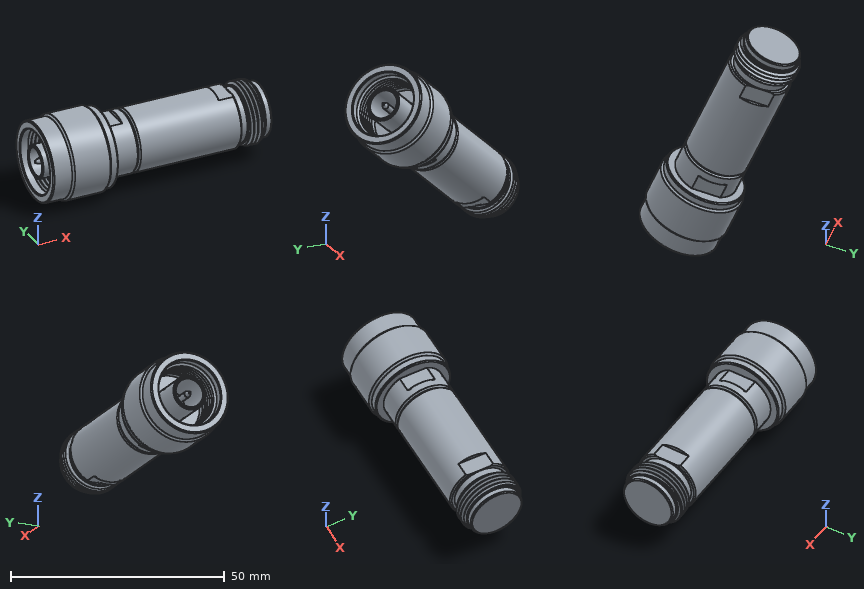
import cadquery as cq


TOTAL_LENGTH = 58.7
NUT_LENGTH = 17.0
FRONT_LAND_END = 4.9
BAND_END = 15.15
GROOVE_START = 23.0
GROOVE_END = 23.95
BODY_END = 50.4
THREAD_START = 52.2
THREAD_END = 57.1

NUT_LAND_RADIUS = 10.0
NUT_BAND_RADIUS = 10.5
NUT_EDGE_CHAMFER = 0.3
BAND_CHAMFER = 0.5
MOUTH_RADIUS = 7.9
MOUTH_CHAMFER = 0.25
MOUTH_DEPTH = 2.2
MOUTH_FLANK = 0.4
SOCKET_RADIUS = 7.3
SOCKET_DEPTH = 10.55

BODY_RADIUS = 7.85
BODY_END_CHAMFER = 0.35
GROOVE_DEPTH = 0.45
GROOVE_FLANK = 0.4
FLAT_HEIGHT = 7.0
FLAT_LENGTH = 4.05

BARREL_RADIUS = 6.8
BARREL_CHAMFER = 0.3

PITCH = 1.05
OUTER_ROOT_RADIUS = 7.05
OUTER_ROOT_FLAT = 0.05
OUTER_CREST = 0.1
OUTER_START_SLOPE = 1.4
OUTER_END_SLOPE = 1.0
OUTER_HELIX_START = 51.6
OUTER_TURNS = 5.75
RIDGE_EMBED = 0.1
TAPER_INSET = 0.05
INNER_RINGS = 6
INNER_CREST = 0.05
FIRST_RING = MOUTH_DEPTH + MOUTH_FLANK + PITCH / 2

SLEEVE_START = 0.1
SLEEVE_RADIUS = 4.15
SLEEVE_BORE_RADIUS = 3.45
SLEEVE_CHAMFER = 0.2
PIN_START = 0.1
PIN_RADIUS = 0.75
PIN_TIP_RADIUS = 0.3
PIN_TIP_LENGTH = 1.3


def revolve_about_x(profile):
    """Revolve a closed (x, radius) outline about the X axis."""
    return cq.Workplane("XY").polyline(profile).close().revolve(360, (0, 0, 0), (1, 0, 0))


def make_shell():
    """Outside of the nut, body and barrel as one solid of revolution."""
    root_rise = OUTER_ROOT_RADIUS - BARREL_RADIUS
    return revolve_about_x([
        (0, 0),
        (0, NUT_LAND_RADIUS - NUT_EDGE_CHAMFER),
        (NUT_EDGE_CHAMFER, NUT_LAND_RADIUS),
        (FRONT_LAND_END, NUT_LAND_RADIUS),
        (FRONT_LAND_END + BAND_CHAMFER, NUT_BAND_RADIUS),
        (BAND_END - BAND_CHAMFER, NUT_BAND_RADIUS),
        (BAND_END, NUT_LAND_RADIUS),
        (NUT_LENGTH - NUT_EDGE_CHAMFER, NUT_LAND_RADIUS),
        (NUT_LENGTH, NUT_LAND_RADIUS - NUT_EDGE_CHAMFER),
        (NUT_LENGTH, BODY_RADIUS),
        (GROOVE_START, BODY_RADIUS),
        (GROOVE_START + GROOVE_FLANK, BODY_RADIUS - GROOVE_DEPTH),
        (GROOVE_END - GROOVE_FLANK, BODY_RADIUS - GROOVE_DEPTH),
        (GROOVE_END, BODY_RADIUS),
        (BODY_END - BODY_END_CHAMFER, BODY_RADIUS),
        (BODY_END, BODY_RADIUS - BODY_END_CHAMFER),
        (BODY_END, BARREL_RADIUS),
        (THREAD_START, BARREL_RADIUS),
        (THREAD_START + root_rise / OUTER_START_SLOPE, OUTER_ROOT_RADIUS),
        (THREAD_END - root_rise / OUTER_END_SLOPE, OUTER_ROOT_RADIUS),
        (THREAD_END, BARREL_RADIUS),
        (TOTAL_LENGTH - BARREL_CHAMFER, BARREL_RADIUS),
        (TOTAL_LENGTH, BARREL_RADIUS - BARREL_CHAMFER),
        (TOTAL_LENGTH, 0),
    ])


def make_socket():
    """Cavity of the coupling nut: chamfered mouth, then the threaded bore."""
    return revolve_about_x([
        (0, 0),
        (0, MOUTH_RADIUS + MOUTH_CHAMFER),
        (MOUTH_CHAMFER, MOUTH_RADIUS),
        (MOUTH_DEPTH, MOUTH_RADIUS),
        (MOUTH_DEPTH + MOUTH_FLANK, SOCKET_RADIUS),
        (SOCKET_DEPTH, SOCKET_RADIUS),
        (SOCKET_DEPTH, 0),
    ])


def make_sleeve():
    """Hollow sleeve of the male contact, standing on the socket floor."""
    return revolve_about_x([
        (SOCKET_DEPTH, SLEEVE_BORE_RADIUS),
        (SLEEVE_START + SLEEVE_CHAMFER, SLEEVE_BORE_RADIUS),
        (SLEEVE_START, SLEEVE_BORE_RADIUS + SLEEVE_CHAMFER),
        (SLEEVE_START, SLEEVE_RADIUS - SLEEVE_CHAMFER),
        (SLEEVE_START + SLEEVE_CHAMFER, SLEEVE_RADIUS),
        (SOCKET_DEPTH, SLEEVE_RADIUS),
    ])


def make_pin():
    """Pointed centre pin of the male contact, standing on the socket floor."""
    return revolve_about_x([
        (PIN_START, 0),
        (PIN_START, PIN_TIP_RADIUS),
        (PIN_START + PIN_TIP_LENGTH, PIN_RADIUS),
        (SOCKET_DEPTH, PIN_RADIUS),
        (SOCKET_DEPTH, 0),
    ])


def make_outer_thread():
    """Right-handed helical ridge of the barrel, tapered at both ends.

    The helix is built along Z, starting on +X, then laid along the X axis,
    where it starts on the -Z side.
    """
    half_root = (PITCH - OUTER_ROOT_FLAT) / 2
    half_crest = OUTER_CREST / 2
    helix = cq.Wire.makeHelix(PITCH, PITCH * OUTER_TURNS, OUTER_ROOT_RADIUS)
    ridge = (
        cq.Workplane("XZ")
        .polyline([
            (OUTER_ROOT_RADIUS - RIDGE_EMBED, -half_root),
            (OUTER_ROOT_RADIUS - RIDGE_EMBED, half_root),
            (BODY_RADIUS, half_crest),
            (BODY_RADIUS, -half_crest),
        ])
        .close()
        .sweep(cq.Workplane(obj=helix), isFrenet=True)
        .rotate((0, 0, 0), (0, 1, 0), 90)
        .translate((OUTER_HELIX_START, 0, 0))
    )
    taper_start = THREAD_START + TAPER_INSET
    taper_end = THREAD_END - TAPER_INSET
    peak_offset = (taper_end - taper_start) * OUTER_END_SLOPE / (OUTER_START_SLOPE + OUTER_END_SLOPE)
    taper = revolve_about_x([
        (taper_start, 0),
        (taper_start, BARREL_RADIUS),
        (taper_start + peak_offset, BARREL_RADIUS + peak_offset * OUTER_START_SLOPE),
        (taper_end, BARREL_RADIUS),
        (taper_end, 0),
    ])
    return ridge.intersect(taper)


def make_inner_thread_ring(centre):
    """V groove in the wall of the coupling nut socket."""
    half_width = (PITCH - INNER_CREST) / 2
    return revolve_about_x([
        (centre, MOUTH_RADIUS),
        (centre - half_width, SOCKET_RADIUS),
        (centre + half_width, SOCKET_RADIUS),
    ])


def make_flat_cutter(start, side):
    """Material beyond one wrench flat facing +Z (side 1) or -Z (side -1)."""
    depth = BODY_RADIUS - FLAT_HEIGHT
    centre = (start + FLAT_LENGTH / 2, 0, side * (FLAT_HEIGHT + depth / 2))
    return cq.Workplane("XY").box(FLAT_LENGTH, 2 * BODY_RADIUS, depth).translate(centre)


result = make_shell().cut(make_socket()).union(make_outer_thread())
for ring in range(INNER_RINGS):
    result = result.cut(make_inner_thread_ring(FIRST_RING + ring * PITCH))
for flat_start in (NUT_LENGTH, BODY_END - FLAT_LENGTH):
    for side in (1, -1):
        result = result.cut(make_flat_cutter(flat_start, side))
result = result.union(make_sleeve()).union(make_pin())